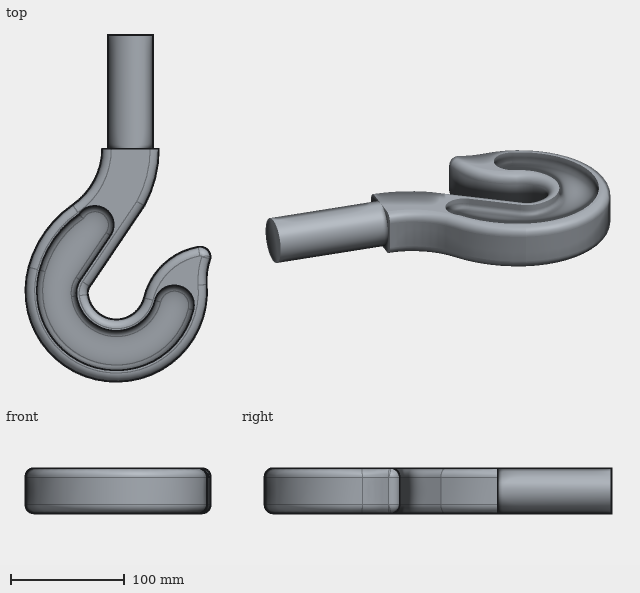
import cadquery as cq
import math


THICKNESS = 40.0
HOOK_RADIUS = 80.0
OPENING_RADIUS = 25.0
EDGE_FILLET = 8.0

SHAFT_DIAMETER = THICKNESS
SHAFT_LENGTH = 100.0
SHAFT_X = OPENING_RADIUS / 2
NECK_WIDTH = 50.0
NECK_TOP = 125.0
NECK_INNER_RADIUS = 60.0
NECK_OUTER_RADIUS = 105.0
NECK_OUTER_HEIGHT = 50.0
BACK_RADIUS = 97.5
THROAT_ANGLE = 34.0
THROAT_RADIUS = 10.0

POINT_ARC_RADIUS = 60.0
POINT_ARC_ANGLE = -13.8
POINT_TIP_RADIUS = 9.5
POINT_CORNER = (83.0, 29.0)
POINT_HOLLOW_RADIUS = 55.0

RECESS_RIM = 10.0
RECESS_DEPTH = 10.0
RECESS_FILLET = 5.0


def polar(center, radius, angle):
    """Point at a radius and an angle (degrees from +X) about a centre."""
    turn = math.radians(angle)
    return center[0] + radius * math.cos(turn), center[1] + radius * math.sin(turn)


def angle_to(start, end):
    """Direction in degrees from one point to another."""
    return math.degrees(math.atan2(end[1] - start[1], end[0] - start[0]))


def distance_along(point, angle):
    """Distance of a point from the origin, measured along a direction in degrees."""
    turn = math.radians(angle)
    return point[0] * math.cos(turn) + point[1] * math.sin(turn)


def circles_meet(center_a, radius_a, center_b, radius_b):
    """Crossing of two circles that lies left of the direction from a to b."""
    distance = math.dist(center_a, center_b)
    along = (radius_a**2 - radius_b**2 + distance**2) / (2 * distance)
    offset = math.degrees(math.acos(along / radius_a))
    return polar(center_a, radius_a, angle_to(center_a, center_b) + offset)


def arc_to(sketch, center, radius, start_angle, end_angle):
    """Continue an outline along a circle, counterclockwise if the angle grows."""
    middle = polar(center, radius, (start_angle + end_angle) / 2)
    return sketch.threePointArc(middle, polar(center, radius, end_angle))


ORIGIN = (0, 0)

neck_left = SHAFT_X - NECK_WIDTH / 2
neck_right = SHAFT_X + NECK_WIDTH / 2
neck_inner_center = (neck_left - NECK_INNER_RADIUS, NECK_TOP)
back_center = circles_meet(
    neck_inner_center, NECK_INNER_RADIUS + BACK_RADIUS, ORIGIN, BACK_RADIUS - HOOK_RADIUS
)
back_start_angle = angle_to(back_center, neck_inner_center)
back_end_angle = angle_to(back_center, ORIGIN)

neck_outer_sweep = math.degrees(math.asin(NECK_OUTER_HEIGHT / NECK_OUTER_RADIUS))
neck_outer_center = (neck_right - NECK_OUTER_RADIUS, NECK_TOP)
throat_top = polar(neck_outer_center, NECK_OUTER_RADIUS, -neck_outer_sweep)
throat_normal = 180 - THROAT_ANGLE
throat_distance = distance_along(throat_top, throat_normal)

throat_arc_distance = OPENING_RADIUS - THROAT_RADIUS
throat_arc_angle = throat_normal + math.degrees(
    math.acos((throat_distance - THROAT_RADIUS) / throat_arc_distance)
)
throat_arc_center = polar(ORIGIN, throat_arc_distance, throat_arc_angle)

opening_end_angle = 360 + POINT_ARC_ANGLE
point_center = polar(ORIGIN, OPENING_RADIUS + POINT_ARC_RADIUS, POINT_ARC_ANGLE)
tip_center = circles_meet(
    point_center, POINT_ARC_RADIUS - POINT_TIP_RADIUS, POINT_CORNER, POINT_TIP_RADIUS
)
hollow_center = circles_meet(
    POINT_CORNER, POINT_HOLLOW_RADIUS, ORIGIN, HOOK_RADIUS + POINT_HOLLOW_RADIUS
)
hollow_end_angle = angle_to(ORIGIN, hollow_center)


def make_body():
    """Hook plate with rounded edges along its whole outline except the flat neck end."""
    tip_start_angle = angle_to(point_center, tip_center)
    tip_end_angle = angle_to(tip_center, POINT_CORNER)
    hollow_start_angle = angle_to(hollow_center, POINT_CORNER)

    outline = cq.Workplane("XY", origin=(0, 0, -THICKNESS / 2)).moveTo(neck_right, NECK_TOP)
    outline = arc_to(outline, neck_outer_center, NECK_OUTER_RADIUS, 0, -neck_outer_sweep)
    outline = outline.lineTo(*polar(throat_arc_center, THROAT_RADIUS, throat_normal))
    outline = arc_to(outline, throat_arc_center, THROAT_RADIUS, throat_normal, throat_arc_angle)
    outline = arc_to(outline, ORIGIN, OPENING_RADIUS, throat_arc_angle, opening_end_angle)
    outline = arc_to(outline, point_center, POINT_ARC_RADIUS, 180 + POINT_ARC_ANGLE, tip_start_angle)
    outline = arc_to(outline, tip_center, POINT_TIP_RADIUS, tip_start_angle, tip_end_angle)

    outline = arc_to(
        outline, hollow_center, POINT_HOLLOW_RADIUS, hollow_start_angle, hollow_end_angle + 180
    )
    outline = arc_to(outline, ORIGIN, HOOK_RADIUS, hollow_end_angle, back_end_angle - 360)
    outline = arc_to(outline, back_center, BACK_RADIUS, back_end_angle, back_start_angle)
    outline = arc_to(outline, neck_inner_center, NECK_INNER_RADIUS, back_start_angle - 180, 0)

    plate = outline.close().extrude(THICKNESS)
    neck_end_edges = plate.faces(">Y").edges()
    rounded = plate.faces("<Z or >Z").edges().filter(
        lambda edge: not any(edge.isSame(end) for end in neck_end_edges.vals())
    )
    return rounded.fillet(EDGE_FILLET)


def make_recess():
    """Pocket that follows the outline at an even rim and has round ends and a rounded floor edge."""
    outer_radius = HOOK_RADIUS - RECESS_RIM
    inner_radius = OPENING_RADIUS + RECESS_RIM
    back_radius = BACK_RADIUS - RECESS_RIM
    throat_radius = THROAT_RADIUS + RECESS_RIM

    upper_outer = polar(back_center, back_radius, back_start_angle)
    upper_radius = (distance_along(upper_outer, throat_normal) - throat_distance - RECESS_RIM) / 2
    upper_center = polar(upper_outer, -upper_radius, throat_normal)

    lower_radius = (outer_radius - inner_radius) / 2
    lower_center = polar(ORIGIN, (outer_radius + inner_radius) / 2, POINT_ARC_ANGLE)

    floor_z = THICKNESS / 2 - RECESS_DEPTH
    outline = cq.Workplane("XY", origin=(0, 0, floor_z)).moveTo(*upper_outer)
    outline = arc_to(outline, upper_center, upper_radius, throat_normal, throat_normal - 180)
    outline = outline.lineTo(*polar(throat_arc_center, throat_radius, throat_normal))
    outline = arc_to(outline, throat_arc_center, throat_radius, throat_normal, throat_arc_angle)
    outline = arc_to(outline, ORIGIN, inner_radius, throat_arc_angle, opening_end_angle)
    outline = arc_to(outline, lower_center, lower_radius, POINT_ARC_ANGLE + 180, POINT_ARC_ANGLE)
    outline = arc_to(outline, ORIGIN, outer_radius, POINT_ARC_ANGLE, back_end_angle - 360)
    outline = arc_to(outline, back_center, back_radius, back_end_angle, back_start_angle)
    return outline.close().extrude(RECESS_DEPTH).faces("<Z").edges().fillet(RECESS_FILLET)


def make_shaft():
    """Round shaft standing on the flat neck end."""
    neck_end = cq.Workplane("XZ", origin=(SHAFT_X, NECK_TOP, 0))
    return neck_end.circle(SHAFT_DIAMETER / 2).extrude(-SHAFT_LENGTH)


result = make_body().cut(make_recess()).union(make_shaft())